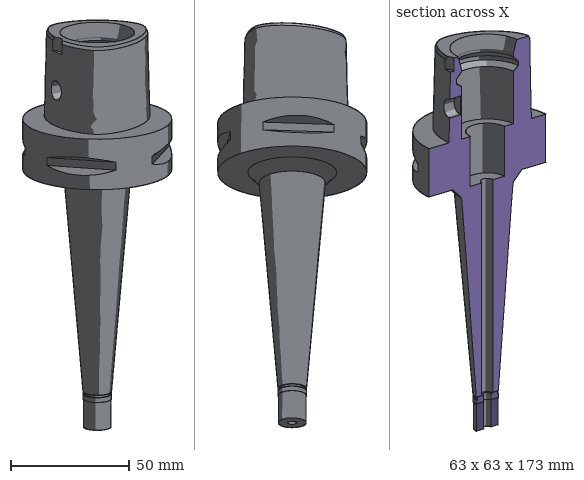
import cadquery as cq
import math

COUPLING_HEIGHT = 37.9
POLYGON_RADIUS = 22.3
LOBE_COUNT = 3
LOBE_RISE = 1.5
TAPER_SLOPE = 0.025
RIM_CHAMFER_HEIGHT = 1.4
RIM_CHAMFER_WIDTH = 0.7
POLYGON_POINTS = 72

MOUTH_RADIUS = 15.7
LIP_RADIUS = 13.8
LIP_TOP_DEPTH = 6.2
LIP_BOTTOM_DEPTH = 7.5
GROOVE_RADIUS = 16.6
GROOVE_TOP_DEPTH = 10.2
GROOVE_BOTTOM_DEPTH = 12.1
GROOVE_END_DEPTH = 14.0
BORE_DEPTH = COUPLING_HEIGHT
BOLT_HOLE_RADIUS = 9.2
BOLT_HOLE_DEPTH = 60.5
COOLANT_RADIUS = 3.0

SIDE_HOLE_RADIUS = 4.2
SIDE_HOLE_DROP = 22.5
SIDE_HOLE_FLOOR_Y = -14.5
NOTCH_RADIUS = 5.0
NOTCH_INNER_Y = -18.0
NOTCH_DEPTH = 5.9

FLANGE_RADIUS = 31.5
FLANGE_HEIGHT = 22.1
SLOT_COUNT = 4
SLOT_FIRST_ANGLE = 45.0
SLOT_FLOOR_OFFSET = 27.7
SLOT_FLOOR_HEIGHT = 3.5
SLOT_FLANK_ANGLE = 30.0
SLOT_CENTER_Z = -12.1

SHOULDER_TOP_RADIUS = 18.7
NECK_TOP_RADIUS = 14.0
SHOULDER_HEIGHT = 4.7
NECK_BOTTOM_RADIUS = 6.0

TOTAL_HEIGHT = 173.0
TIP_HEIGHT = 12.3
TIP_RADIUS = 5.9
COLLAR_HEIGHT = 2.0
COLLAR_RADIUS = 6.0
RECESS_HEIGHT = 1.0
RECESS_RADIUS = 5.5
TIP_HOLE_RADIUS = 1.9

TIP_BOTTOM_Z = COUPLING_HEIGHT - TOTAL_HEIGHT
TIP_TOP_Z = TIP_BOTTOM_Z + TIP_HEIGHT
COLLAR_TOP_Z = TIP_TOP_Z + COLLAR_HEIGHT
NECK_BOTTOM_Z = COLLAR_TOP_Z + RECESS_HEIGHT
NECK_TOP_Z = -FLANGE_HEIGHT - SHOULDER_HEIGHT


def cylinder(radius, bottom_z, top_z):
    return cq.Workplane("XY").workplane(offset=bottom_z).circle(radius).extrude(top_z - bottom_z)


def turned(profile):
    """Revolve a closed (radius, z) profile about Z."""
    return cq.Workplane("XZ").polyline(profile).close().revolve(360, (0, 0, 0), (0, 1, 0))


def polygon_wire(mean_radius, z):
    """Rounded three-lobed outline, one lobe toward +Y, from its support function."""
    points = []
    for i in range(POLYGON_POINTS):
        angle = 2 * math.pi * i / POLYGON_POINTS - math.pi / 2
        lobe_angle = LOBE_COUNT * (angle - math.pi / 2)
        support = mean_radius + LOBE_RISE * math.cos(lobe_angle)
        slope = -LOBE_COUNT * LOBE_RISE * math.sin(lobe_angle)
        x = support * math.cos(angle) - slope * math.sin(angle)
        y = support * math.sin(angle) + slope * math.cos(angle)
        points.append(cq.Vector(x, y, z))
    return cq.Wire.assembleEdges([cq.Edge.makeSpline(points, periodic=True)])


def make_coupling():
    chamfer_z = COUPLING_HEIGHT - RIM_CHAMFER_HEIGHT
    chamfer_radius = POLYGON_RADIUS - TAPER_SLOPE * chamfer_z
    base = polygon_wire(POLYGON_RADIUS, 0)
    shoulder = polygon_wire(chamfer_radius, chamfer_z)
    rim = polygon_wire(chamfer_radius - RIM_CHAMFER_WIDTH, COUPLING_HEIGHT)
    taper = cq.Solid.makeLoft([base, shoulder], True)
    chamfer = cq.Solid.makeLoft([shoulder, rim], True)
    return cq.Workplane("XY").add(taper).union(cq.Workplane("XY").add(chamfer))


def make_bore():
    rim = COUPLING_HEIGHT
    return turned([
        (0, rim),
        (MOUTH_RADIUS, rim),
        (LIP_RADIUS, rim - LIP_TOP_DEPTH),
        (LIP_RADIUS, rim - LIP_BOTTOM_DEPTH),
        (GROOVE_RADIUS, rim - GROOVE_TOP_DEPTH),
        (GROOVE_RADIUS, rim - GROOVE_BOTTOM_DEPTH),
        (LIP_RADIUS, rim - GROOVE_END_DEPTH),
        (LIP_RADIUS, rim - BORE_DEPTH),
        (BOLT_HOLE_RADIUS, rim - BORE_DEPTH),
        (BOLT_HOLE_RADIUS, rim - BOLT_HOLE_DEPTH),
        (COOLANT_RADIUS, rim - BOLT_HOLE_DEPTH),
        (COOLANT_RADIUS, NECK_BOTTOM_Z),
        (0, NECK_BOTTOM_Z),
    ])


def make_side_hole():
    """Flat-bottomed round hole in the -Y side."""
    return (
        cq.Workplane("XZ", origin=(0, SIDE_HOLE_FLOOR_Y, COUPLING_HEIGHT - SIDE_HOLE_DROP))
        .circle(SIDE_HOLE_RADIUS)
        .extrude(FLANGE_RADIUS)
    )


def make_notch():
    """Round-backed notch in the rim on the -Y side."""
    notch = cylinder(NOTCH_RADIUS, COUPLING_HEIGHT - NOTCH_DEPTH, COUPLING_HEIGHT)
    return notch.translate((0, NOTCH_INNER_Y - NOTCH_RADIUS, 0))


def make_slot(angle):
    """Straight gripper slot with a flat floor and flared flanks, at one angle about Z."""
    depth = FLANGE_RADIUS - SLOT_FLOOR_OFFSET
    floor_half = SLOT_FLOOR_HEIGHT / 2
    mouth_half = floor_half + depth * math.tan(math.radians(SLOT_FLANK_ANGLE))
    section = [
        (SLOT_FLOOR_OFFSET, SLOT_CENTER_Z - floor_half),
        (FLANGE_RADIUS, SLOT_CENTER_Z - mouth_half),
        (FLANGE_RADIUS, SLOT_CENTER_Z + mouth_half),
        (SLOT_FLOOR_OFFSET, SLOT_CENTER_Z + floor_half),
    ]
    slot = cq.Workplane("XZ").polyline(section).close().extrude(FLANGE_RADIUS, both=True)
    return slot.rotate((0, 0, 0), (0, 0, 1), angle)


def make_holder():
    body = turned([
        (0, 0),
        (FLANGE_RADIUS, 0),
        (FLANGE_RADIUS, -FLANGE_HEIGHT),
        (SHOULDER_TOP_RADIUS, -FLANGE_HEIGHT),
        (NECK_TOP_RADIUS, NECK_TOP_Z),
        (NECK_BOTTOM_RADIUS, NECK_BOTTOM_Z),
        (0, NECK_BOTTOM_Z),
    ])
    body = body.union(make_coupling())
    body = body.cut(make_bore()).cut(make_side_hole()).cut(make_notch())
    for i in range(SLOT_COUNT):
        body = body.cut(make_slot(SLOT_FIRST_ANGLE + 360 / SLOT_COUNT * i))
    return body


def make_collar():
    return turned([
        (TIP_HOLE_RADIUS, TIP_TOP_Z),
        (COLLAR_RADIUS, TIP_TOP_Z),
        (COLLAR_RADIUS, COLLAR_TOP_Z),
        (RECESS_RADIUS, COLLAR_TOP_Z),
        (RECESS_RADIUS, NECK_BOTTOM_Z),
        (TIP_HOLE_RADIUS, NECK_BOTTOM_Z),
    ])


def make_tip():
    return cylinder(TIP_RADIUS, TIP_BOTTOM_Z, TIP_TOP_Z).cut(
        cylinder(TIP_HOLE_RADIUS, TIP_BOTTOM_Z, TIP_TOP_Z)
    )


holder = make_holder()
collar = make_collar()
tip = make_tip()
result = cq.Compound.makeCompound([holder.val(), collar.val(), tip.val()])